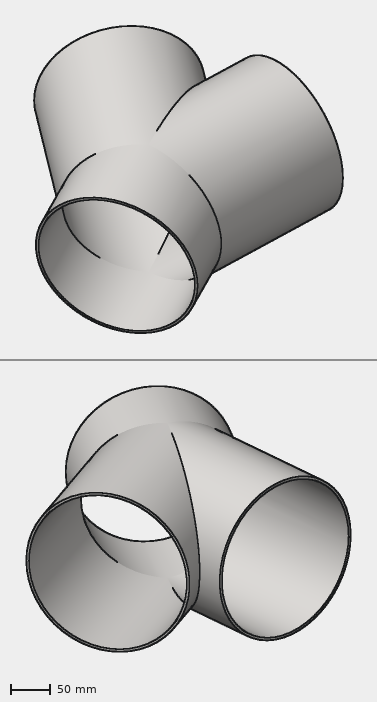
import cadquery as cq
import math

overall_width = 418.5
overall_depth = 367.0
outer_diameter = 219.0
inner_diameter = 211.5
branch_angle = 30.0

outer_radius = outer_diameter / 2
sin_branch = math.sin(math.radians(branch_angle))
cos_branch = math.cos(math.radians(branch_angle))
branch_length = (overall_width / 2 - outer_radius * cos_branch) / sin_branch
branch_reach = branch_length * cos_branch + outer_radius * sin_branch
inlet_length = overall_depth - branch_reach

mitre_slope = math.tan(math.radians(branch_angle / 2))
sector_size = overall_width
mitre_drop = sector_size * mitre_slope


def cylinder(diameter, start, length, angle):
    """Cylinder through the origin in the XY plane, its axis turned clockwise from +Y."""
    body = cq.Workplane("XZ").circle(diameter / 2).extrude(-length)
    return body.translate((0, start, 0)).rotate((0, 0, 0), (0, 0, 1), -angle)


def sector(points):
    """Prism along Z that limits a leg to its side of the mitre planes."""
    return cq.Workplane("XY").polyline(points).close().extrude(outer_diameter, both=True)


def wye(diameter):
    """Solid three-way body with its axes meeting at the origin."""
    inlet = cylinder(diameter, -inlet_length, inlet_length + diameter, 0).intersect(
        sector([
            (0, 0),
            (sector_size, -mitre_drop),
            (sector_size, -sector_size),
            (-sector_size, -sector_size),
            (-sector_size, -mitre_drop),
        ])
    )
    right_branch = cylinder(diameter, -diameter, branch_length + diameter, branch_angle).intersect(
        sector([
            (0, 0),
            (sector_size, -mitre_drop),
            (sector_size, sector_size),
            (0, sector_size),
        ])
    )
    left_branch = right_branch.mirror("YZ")
    return inlet.union(right_branch).union(left_branch)


result = wye(outer_diameter).cut(wye(inner_diameter))